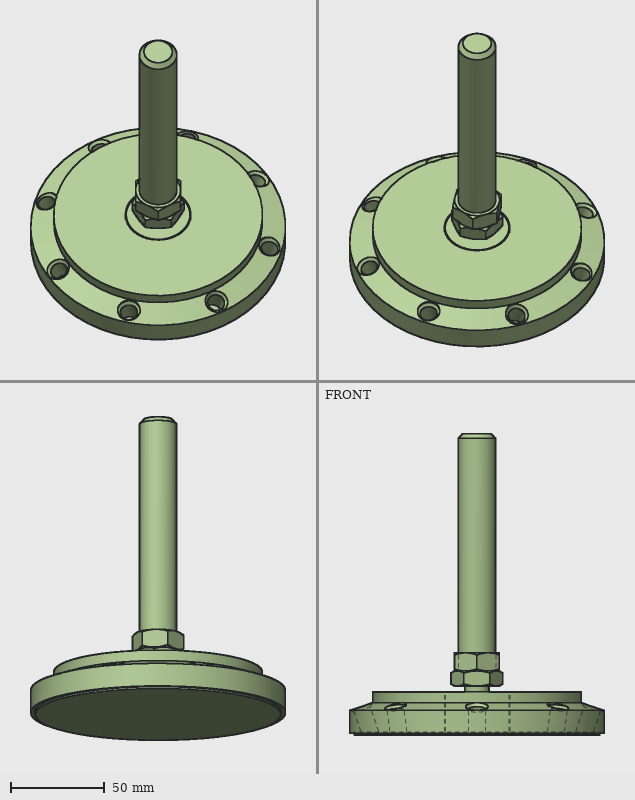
import cadquery as cq
import math

total_height = 161.0
pad_protrusion = 1.0
pad_top = 2.0
rim_top = 13.2
cone_top = 17.4
base_top = 23.2
neck_height = 3.0
spindle_hex_height = 8.0
nut_height = 9.7

base_diameter = 136.0
boss_diameter = 111.5
pad_diameter = 131.0
pad_recess_diameter = 132.0
insert_diameter = 34.0
insert_bore_diameter = 35.0
neck_diameter = 13.0
rod_diameter = 20.0
rod_tip_diameter = 15.1
rod_tip_height = 2.5

hex_across_flats = 24.0
hex_across_corners = hex_across_flats / math.cos(math.pi / 6)
hex_chamfer_diameter = hex_across_flats
hex_chamfer_angle = 30.0

hole_count = 8
hole_diameter = 9.0
countersink_diameter = 12.2
countersink_depth = (countersink_diameter - hole_diameter) / 2
hole_radius = 61.8
hole_cut_length = 32.2
diagonal_hole_tilt = 10.0

spindle_hex_bottom = base_top + neck_height
nut_bottom = spindle_hex_bottom + spindle_hex_height
shoulder_slope = (cone_top - rim_top) / (base_diameter / 2 - boss_diameter / 2)
shoulder_angle = math.degrees(math.atan(shoulder_slope))
hole_mouth_height = rim_top + (base_diameter / 2 - hole_radius) * shoulder_slope


def cylinder(diameter, bottom, height):
    return cq.Workplane("XY").workplane(offset=bottom).circle(diameter / 2).extrude(height)


def chamfered_hexagon(bottom, height, turn):
    """Hexagon with conically chamfered corners at both ends; turn is in degrees."""
    hexagon = (
        cq.Workplane("XY")
        .workplane(offset=bottom)
        .polygon(6, hex_across_corners)
        .extrude(height)
        .rotate((0, 0, 0), (0, 0, 1), turn)
    )
    end_radius = hex_chamfer_diameter / 2
    corner_radius = hex_across_corners / 2
    corner_drop = (corner_radius - end_radius) * math.tan(math.radians(hex_chamfer_angle))
    top = bottom + height
    envelope = (
        cq.Workplane("XZ")
        .polyline([
            (0, bottom),
            (end_radius, bottom),
            (corner_radius, bottom + corner_drop),
            (corner_radius, top - corner_drop),
            (end_radius, top),
            (0, top),
        ])
        .close()
        .revolve(360, (0, 0, 0), (0, 1, 0))
    )
    return hexagon.intersect(envelope)


def shoulder_hole(angle, tilt):
    """Cutter for one countersunk hole at an angle around Z, leaning outward at the top by tilt."""
    countersink_radius = countersink_diameter / 2
    bore_radius = hole_diameter / 2
    cutter = (
        cq.Workplane("XZ")
        .polyline([
            (0, hole_cut_length),
            (countersink_radius, hole_cut_length),
            (countersink_radius, 0),
            (bore_radius, -countersink_depth),
            (bore_radius, -hole_cut_length),
            (0, -hole_cut_length),
        ])
        .close()
        .revolve(360, (0, 0, 0), (0, 1, 0))
    )
    return (
        cutter.rotate((0, 0, 0), (0, 1, 0), tilt)
        .translate((hole_radius, 0, hole_mouth_height))
        .rotate((0, 0, 0), (0, 0, 1), angle)
    )


def make_base():
    base = (
        cq.Workplane("XZ")
        .polyline([
            (insert_bore_diameter / 2, pad_top),
            (pad_recess_diameter / 2, pad_top),
            (pad_recess_diameter / 2, pad_protrusion),
            (base_diameter / 2, pad_protrusion),
            (base_diameter / 2, rim_top),
            (boss_diameter / 2, cone_top),
            (boss_diameter / 2, base_top),
            (insert_bore_diameter / 2, base_top),
        ])
        .close()
        .revolve(360, (0, 0, 0), (0, 1, 0))
    )
    for index in range(hole_count):
        tilt = shoulder_angle if index % 2 == 0 else diagonal_hole_tilt
        base = base.cut(shoulder_hole(index * 360 / hole_count, tilt))
    return base


def make_spindle():
    neck = cylinder(neck_diameter, base_top, neck_height)
    hexagon = chamfered_hexagon(spindle_hex_bottom, spindle_hex_height, 0)
    rod = cylinder(rod_diameter, nut_bottom, total_height - nut_bottom)
    tip_chamfer = (rod_diameter - rod_tip_diameter) / 2
    rod = rod.faces(">Z").chamfer(rod_tip_height, tip_chamfer)
    return neck.union(hexagon).union(rod)


def make_lock_nut():
    nut = chamfered_hexagon(nut_bottom, nut_height, 30)
    return nut.cut(cylinder(rod_diameter, nut_bottom, nut_height))


pad = cylinder(pad_diameter, 0, pad_top)
base = make_base()
insert = cylinder(insert_diameter, pad_top, base_top - pad_top)
spindle = make_spindle()
lock_nut = make_lock_nut()

result = cq.Compound.makeCompound([
    pad.val(),
    base.val(),
    insert.val(),
    spindle.val(),
    lock_nut.val(),
])